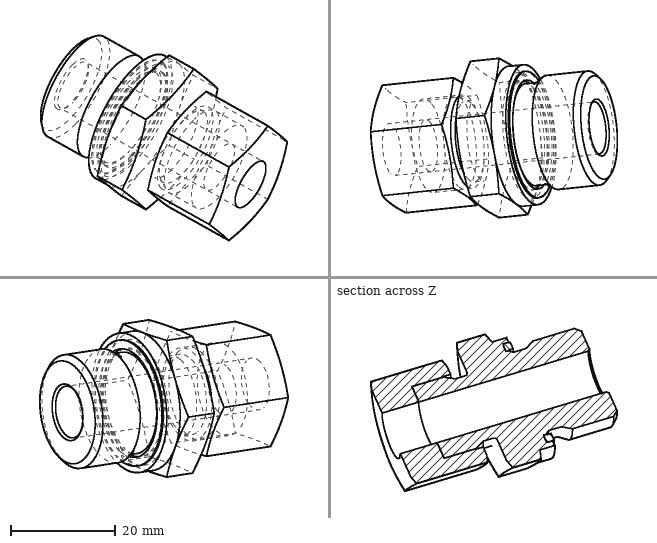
import cadquery as cq
import math


bore_radius = 5.0
bore_mouth_radius = 5.5

stud_radius = 11.0
stud_tip_radius = 9.95
stud_chamfer_length = 1.1
stud_shoulder_x = 9.5
undercut_radius = 9.8
undercut_cone_end_x = 11.18
undercut_cone_angle = 30.0
undercut_blend_x = 11.7

collar_x = 14.0
groove_depth = 1.2
groove_inner_radius = 10.5
groove_outer_radius = 12.2
groove_cone_length = groove_inner_radius - undercut_radius

seal_protrusion = 0.3

hex_across_flats = 27.0
hex_start_x = 17.0
hex_end_x = 23.95
collar_radius = hex_across_flats / 2

neck_radius = 7.8
neck_fillet = 0.65
neck_end_x = 26.5
spigot_radius = 9.0
spigot_cone_angle = 30.0
spigot_end_x = 35.0

nut_start_x = 27.0
nut_end_x = 42.5
nut_across_flats = 22.0
nut_end_circle_radius = 10.8

corner_chamfer_angle = 15.0


def revolve_about_x(profile):
    """Revolve a closed (x, radius) outline about the X axis."""
    return profile.close().revolve(360, (0, 0, 0), (1, 0, 0))


def cylinder(start_x, end_x, radius):
    return cq.Workplane("YZ", origin=(start_x, 0, 0)).circle(radius).extrude(end_x - start_x)


def chamfered_hexagon(start_x, end_x, across_flats, start_radius, end_radius):
    """Hexagonal prism with flats facing +Z and -Z and conically turned corners.

    start_radius and end_radius are the circles left on the two end faces.
    """
    corner_radius = across_flats / math.sqrt(3)
    slope = math.tan(math.radians(corner_chamfer_angle))
    start_depth = (corner_radius - start_radius) * slope
    end_depth = (corner_radius - end_radius) * slope

    prism = (
        cq.Workplane("YZ", origin=(start_x, 0, 0))
        .polygon(6, 2 * corner_radius)
        .extrude(end_x - start_x)
    )
    envelope = revolve_about_x(
        cq.Workplane("XY")
        .moveTo(start_x, 0)
        .lineTo(start_x, start_radius)
        .lineTo(start_x + start_depth, corner_radius)
        .lineTo(end_x - end_depth, corner_radius)
        .lineTo(end_x, end_radius)
        .lineTo(end_x, 0)
    )
    return prism.intersect(envelope)


def make_stud():
    """Stud, undercut and collar, with a 45 degree cone sunk between the undercut and the groove.

    The arc at the bottom of the stud's shoulder is tangent to the undercut and turns
    through the undercut cone angle.
    """
    turn = math.radians(undercut_cone_angle)
    blend_radius = (undercut_blend_x - undercut_cone_end_x) / math.sin(turn)
    blend_start = (undercut_cone_end_x, undercut_radius + blend_radius * (1 - math.cos(turn)))
    blend_middle = (
        undercut_blend_x - blend_radius * math.sin(turn / 2),
        undercut_radius + blend_radius * (1 - math.cos(turn / 2)),
    )

    return revolve_about_x(
        cq.Workplane("XY")
        .moveTo(0, 0)
        .lineTo(0, stud_tip_radius)
        .lineTo(stud_chamfer_length, stud_radius)
        .lineTo(stud_shoulder_x, stud_radius)
        .lineTo(*blend_start)
        .threePointArc(blend_middle, (undercut_blend_x, undercut_radius))
        .lineTo(collar_x, undercut_radius)
        .lineTo(collar_x + groove_cone_length, groove_inner_radius)
        .lineTo(collar_x, groove_inner_radius)
        .lineTo(collar_x, collar_radius)
        .lineTo(hex_start_x, collar_radius)
        .lineTo(hex_start_x, 0)
    )


def make_neck():
    """Neck with a fillet at the hexagon, and a cone up to the spigot."""
    cone_length = (spigot_radius - neck_radius) / math.tan(math.radians(spigot_cone_angle))
    fillet_reach = neck_fillet * (1 - math.sqrt(0.5))
    return revolve_about_x(
        cq.Workplane("XY")
        .moveTo(hex_end_x, 0)
        .lineTo(hex_end_x, neck_radius + neck_fillet)
        .threePointArc(
            (hex_end_x + fillet_reach, neck_radius + fillet_reach),
            (hex_end_x + neck_fillet, neck_radius),
        )
        .lineTo(neck_end_x, neck_radius)
        .lineTo(neck_end_x + cone_length, spigot_radius)
        .lineTo(spigot_end_x, spigot_radius)
        .lineTo(spigot_end_x, 0)
    )


def make_bore_mouth():
    """45 degree chamfer cutter for the open end of the bore."""
    return revolve_about_x(
        cq.Workplane("XY")
        .moveTo(0, 0)
        .lineTo(0, bore_mouth_radius)
        .lineTo(bore_mouth_radius - bore_radius, bore_radius)
        .lineTo(bore_mouth_radius - bore_radius, 0)
    )


def make_ring(start_x, end_x):
    """Ring that fills the seal groove between two X positions."""
    outer = cylinder(start_x, end_x, groove_outer_radius)
    return outer.cut(cylinder(start_x, end_x, groove_inner_radius))


def make_body():
    hexagon = chamfered_hexagon(hex_start_x, hex_end_x, hex_across_flats, collar_radius, collar_radius)
    solid = make_stud().union(hexagon).union(make_neck())
    solid = solid.cut(make_ring(collar_x, collar_x + groove_depth))
    solid = solid.cut(cylinder(0, spigot_end_x, bore_radius))
    return solid.cut(make_bore_mouth())


def make_seal():
    return make_ring(collar_x - seal_protrusion, collar_x + groove_depth)


def make_nut():
    hexagon = chamfered_hexagon(
        nut_start_x, nut_end_x, nut_across_flats, nut_across_flats / 2, nut_end_circle_radius
    )
    hexagon = hexagon.cut(cylinder(nut_start_x, spigot_end_x, spigot_radius))
    return hexagon.cut(cylinder(spigot_end_x, nut_end_x, bore_radius))


body = make_body()
seal = make_seal()
nut = make_nut()

result = cq.Compound.makeCompound([body.val(), seal.val(), nut.val()])